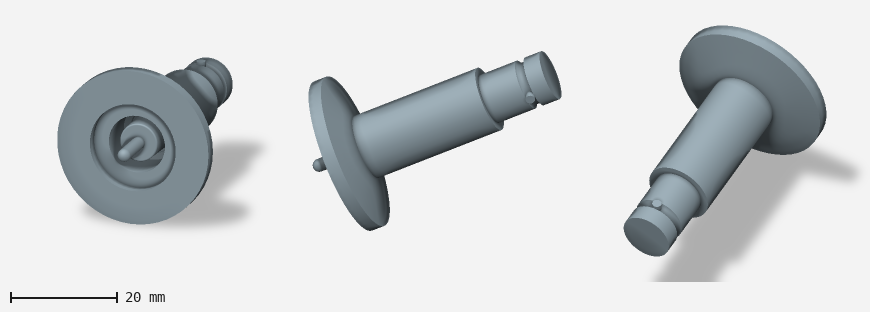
import cadquery as cq
import math

total_length = 49.15

flange_radius = 15.0
flange_thickness = 2.55
hub_length = 4.85
body_radius = 6.25
body_end = 30.37

barrel_radius = 4.8
groove_width = 1.75
groove_depth = 0.7
groove_offset = 4.2
lug_radius = groove_width / 2
lug_reach = 5.4

recess_radius = 8.5
recess_depth = 2.35
bore_radius = 5.55
bore_depth = 10.8
throat_radius = 4.45
throat_taper = 0.75
throat_length = 0.5
throat_narrowing = 0.1
seat_taper = 0.3

insulator_face = 3.25
insulator_front_radius = 3.7
insulator_base_radius = 3.95
insulator_rounding = 0.3
pin_radius = 1.25
pin_reach = 6.15

barrel_end = total_length - pin_reach
groove_center = barrel_end - groove_offset
throat_start = bore_depth + throat_taper
throat_end = throat_start + throat_length
cavity_end = throat_end + seat_taper


def turned(profile):
    """Close a half profile drawn in the XY plane and turn it about the Y axis."""
    return profile.close().revolve(360, (0, 0, 0), (0, 1, 0))


def make_shell():
    """Flange, conical hub, body and grooved barrel."""
    return turned(
        cq.Workplane("XY")
        .lineTo(flange_radius, 0)
        .lineTo(flange_radius, flange_thickness)
        .lineTo(body_radius, hub_length)
        .lineTo(body_radius, body_end)
        .lineTo(barrel_radius, body_end)
        .lineTo(barrel_radius, groove_center - groove_width / 2)
        .threePointArc(
            (barrel_radius - groove_depth, groove_center),
            (barrel_radius, groove_center + groove_width / 2),
        )
        .lineTo(barrel_radius, barrel_end)
        .lineTo(0, barrel_end)
    )


def make_cavity():
    """Recess and bore, narrowing through a throat to the base of the insulator."""
    return turned(
        cq.Workplane("XY")
        .lineTo(recess_radius, 0)
        .lineTo(recess_radius, recess_depth)
        .lineTo(bore_radius, recess_depth)
        .lineTo(bore_radius, bore_depth)
        .lineTo(throat_radius, throat_start)
        .lineTo(throat_radius - throat_narrowing, throat_end)
        .lineTo(insulator_base_radius, cavity_end)
        .lineTo(0, cavity_end)
    )


def make_insulator():
    """Slightly tapered insulator with a rounded front edge, rooted in the body."""
    insulator = turned(
        cq.Workplane("XY")
        .moveTo(0, insulator_face)
        .lineTo(insulator_front_radius, insulator_face)
        .lineTo(insulator_base_radius, cavity_end)
        .lineTo(insulator_base_radius, body_end)
        .lineTo(0, body_end)
    )
    return insulator.faces("<Y").edges().fillet(insulator_rounding)


def make_pin():
    """Centre pin with a hemispherical tip, rooted in the body."""
    dome_base = pin_radius - pin_reach
    dome_middle = pin_radius * math.sin(math.pi / 4)
    return turned(
        cq.Workplane("XY")
        .moveTo(0, -pin_reach)
        .threePointArc((dome_middle, dome_base - dome_middle), (pin_radius, dome_base))
        .lineTo(pin_radius, body_end)
        .lineTo(0, body_end)
    )


def make_lugs():
    """Bayonet lugs standing in the groove on the +Z and -Z sides."""
    lower_end = cq.Workplane("XY", origin=(0, groove_center, -lug_reach))
    return lower_end.circle(lug_radius).extrude(2 * lug_reach)


result = make_shell().cut(make_cavity()).union(make_insulator()).union(make_pin()).union(make_lugs())